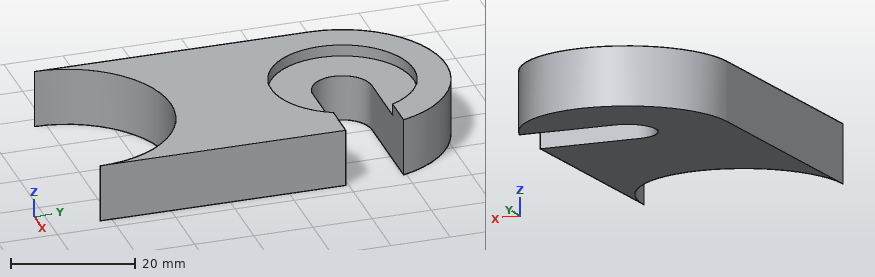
import cadquery as cq

length = 64.0
width = 35.0
thickness = 10.0
slot_width = 10.0
recess_radius = 12.0
recess_depth = 2.0

end_radius = width / 2
saddle_y = end_radius - length


def plate_body():
    """Plate with a round head and a concave semicircular saddle at the foot."""
    return (
        cq.Workplane("XY")
        .moveTo(-end_radius, 0)
        .threePointArc((0, end_radius), (end_radius, 0))
        .lineTo(end_radius, saddle_y)
        .threePointArc((0, saddle_y + end_radius), (-end_radius, saddle_y))
        .close()
        .extrude(thickness)
    )


def recess():
    """Shallow round seat in the top face, concentric with the head."""
    floor_z = thickness - recess_depth
    return cq.Workplane("XY", origin=(0, 0, floor_z)).circle(recess_radius).extrude(recess_depth)


def side_slot():
    """Through slot with a round inner end, open toward +X."""
    slot_radius = slot_width / 2
    return (
        cq.Workplane("XY")
        .moveTo(width, slot_radius)
        .lineTo(0, slot_radius)
        .threePointArc((-slot_radius, 0), (0, -slot_radius))
        .lineTo(width, -slot_radius)
        .close()
        .extrude(thickness)
    )


result = plate_body().cut(recess()).cut(side_slot())